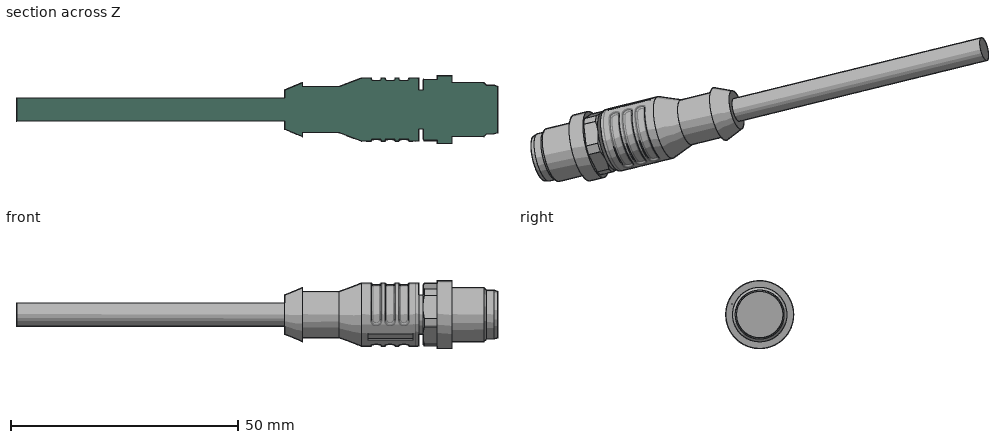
import cadquery as cq
import math


boot_start = 59.05
flare_end = 63.0
shoulder_start = 71.0
grip_start = 76.0
grip_taper_start = 87.9
grip_end = 88.6
nut_start = 89.5
collar_start = 92.6
collar_end = 95.9
sleeve_end = 102.9
tip_start = 103.5
tip_taper_start = 105.1
tip_end = 106.0

cable_diameter = 5.2
boot_end_diameter = 8.7
flare_diameter = 12.0
boot_diameter = 10.2
grip_diameter = 14.0
grip_end_diameter = 13.9
neck_diameter = 8.7
nut_diameter = 14.0
collar_diameter = 15.0
sleeve_diameter = 12.0
tip_diameter = 10.8
tip_end_diameter = 10.2

nut_across_flats = 13.0
nut_chamfer_length = 0.3
nut_corner_angle = 45.0

groove_count = 3
groove_pitch = 3.05
groove_width = 2.1
groove_depth = 0.5
groove_fillet = 0.3
groove_rim_fillet = 0.19
groove_middle_x = 82.25
groove_half_sweep = 63.5
groove_set_angles = (45.0, 225.0)

recess_start = 77.35
recess_length = 10.0
recess_width = 1.9
recess_depth = 0.45
recess_angles = (135.0, -45.0)

grip_radius = grip_diameter / 2
groove_floor_radius = grip_radius - groove_depth
recess_floor_distance = grip_radius - recess_depth
clear_radius = grip_radius + 1.0

tolerance = 0.001


def turned_body():
    """Body of revolution, from one (x, diameter) pair per corner of its profile."""
    corners = [
        (0, cable_diameter),
        (boot_start, cable_diameter),
        (boot_start, boot_end_diameter),
        (flare_end, flare_diameter),
        (flare_end, boot_diameter),
        (shoulder_start, boot_diameter),
        (grip_start, grip_diameter),
        (grip_taper_start, grip_diameter),
        (grip_end, grip_end_diameter),
        (grip_end, neck_diameter),
        (nut_start, neck_diameter),
        (nut_start, nut_across_flats),
        (nut_start + nut_chamfer_length, nut_diameter),
        (collar_start, nut_diameter),
        (collar_start, collar_diameter),
        (collar_end, collar_diameter),
        (collar_end, sleeve_diameter),
        (sleeve_end, sleeve_diameter),
        (tip_start, tip_diameter),
        (tip_taper_start, tip_diameter),
        (tip_end, tip_end_diameter),
    ]
    outline = [(0, 0)] + [(x, diameter / 2) for x, diameter in corners] + [(tip_end, 0)]
    return cq.Workplane("XY").polyline(outline).close().revolve(360, (0, 0, 0), (1, 0, 0))


def turn_about_x(shape, angle):
    """Turn a shape about the X axis, from -Y toward +Z."""
    return shape.rotate((0, 0, 0), (1, 0, 0), -angle)


def nut_flat_cutter():
    """Material outside the hexagon, between the nut face and the collar."""
    across_corners = nut_across_flats / math.cos(math.pi / 6)
    ring = (
        cq.Workplane("YZ", origin=(nut_start, 0, 0))
        .circle(nut_diameter)
        .polygon(6, across_corners)
        .extrude(collar_start - nut_start)
    )
    return turn_about_x(ring, nut_corner_angle)


def distance_from_axis(point):
    """Distance of a point from the X axis."""
    return math.hypot(point.y, point.z)


def lies_at_radius(edge, radius):
    """True if both ends of an edge are at the given distance from the X axis."""
    ends = (edge.startPoint(), edge.endPoint())
    return all(abs(distance_from_axis(end) - radius) < tolerance for end in ends)


def is_floor_edge(edge):
    """True for an edge of the groove floor."""
    return lies_at_radius(edge, groove_floor_radius)


def is_rim_edge(edge):
    """True for an edge where a groove wall meets the grip surface."""
    between_grip_ends = grip_start + tolerance < edge.Center().x < grip_taper_start - tolerance
    return between_grip_ends and lies_at_radius(edge, grip_radius)


def groove_cutter():
    """One round-ended groove at the middle of a set, centred on -Y."""
    half_width = groove_width / 2
    end_angle = groove_half_sweep - math.degrees(half_width / grip_radius)
    band = (
        cq.Workplane("XY")
        .moveTo(groove_middle_x - half_width, 0)
        .hLine(groove_width)
        .vLine(-clear_radius)
        .hLine(-groove_width)
        .close()
        .revolve(2 * end_angle, (0, 0, 0), (1, 0, 0))
    )
    cutter = turn_about_x(band, end_angle)
    round_end = cq.Workplane("XZ").center(groove_middle_x, 0).circle(half_width).extrude(clear_radius)
    for angle in (-end_angle, end_angle):
        cutter = cutter.union(turn_about_x(round_end, angle))
    core = (
        cq.Workplane("YZ", origin=(grip_start, 0, 0))
        .circle(groove_floor_radius)
        .extrude(grip_end - grip_start)
    )
    return cutter.cut(core).edges().filter(is_floor_edge).fillet(groove_fillet)


def cut_grooves(body):
    """Cut both groove sets into the grip and round their rims."""
    groove = groove_cutter()
    for set_angle in groove_set_angles:
        turned_groove = turn_about_x(groove, set_angle)
        for index in range(groove_count):
            shift = (index - (groove_count - 1) / 2) * groove_pitch
            body = body.cut(turned_groove.translate((shift, 0, 0)))
    return body.edges().filter(is_rim_edge).fillet(groove_rim_fillet)


def recess_cutter():
    """Straight recess along the grip, opening toward -Y."""
    return (
        cq.Workplane("XZ", origin=(recess_start + recess_length / 2, -recess_floor_distance, 0))
        .rect(recess_length, recess_width)
        .extrude(clear_radius - recess_floor_distance)
    )


result = turned_body().cut(nut_flat_cutter())
result = cut_grooves(result)
for recess_angle in recess_angles:
    result = result.cut(turn_about_x(recess_cutter(), recess_angle))